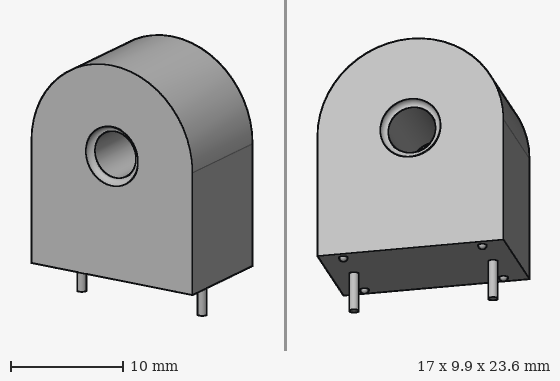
import cadquery as cq

total_height = 23.55
width = 17.02
depth = 9.9

pin_length = 3.55
pin_diameter = 0.85
pin_spacing = 12.7

housing_height = total_height - pin_length
top_radius = width / 2
axis_height = housing_height - top_radius

bore_diameter = 4.33
bore_cove_radius = 0.6

foot_radius = 0.4
foot_height = 0.35
foot_spacing_y = 8.0


def make_foot():
    """Spherical cap that hangs below the housing floor at Z = 0."""
    sphere_radius = (foot_radius**2 + foot_height**2) / (2 * foot_height)
    return (
        cq.Workplane("XZ")
        .moveTo(0, 0)
        .lineTo(0, -foot_height)
        .radiusArc((foot_radius, 0), -sphere_radius)
        .close()
        .revolve(360, (0, 0), (0, 1))
    )


def make_bore_cove(side):
    """Cutter for the concave ring at one bore mouth; side is -1 at the -Y face, 1 at the +Y face."""
    bore_radius = bore_diameter / 2
    face_y = side * depth / 2
    ring_floor_y = face_y - side * bore_cove_radius
    return (
        cq.Workplane("XY")
        .moveTo(0, face_y)
        .lineTo(bore_radius + bore_cove_radius, face_y)
        .radiusArc((bore_radius, ring_floor_y), side * bore_cove_radius)
        .lineTo(0, ring_floor_y)
        .close()
        .revolve(360, (0, 0), (0, 1))
        .translate((0, 0, axis_height))
    )


def make_housing():
    """Arched block with a cove-mouthed bore along Y and four feet."""
    block = (
        cq.Workplane("XZ")
        .moveTo(-width / 2, 0)
        .lineTo(width / 2, 0)
        .lineTo(width / 2, axis_height)
        .threePointArc((0, housing_height), (-width / 2, axis_height))
        .close()
        .extrude(depth / 2, both=True)
    )
    bore = (
        cq.Workplane("XZ")
        .center(0, axis_height)
        .circle(bore_diameter / 2)
        .extrude(depth / 2, both=True)
    )
    housing = block.cut(bore)
    for side in (1, -1):
        housing = housing.cut(make_bore_cove(side))

    foot = make_foot()
    for x in (-pin_spacing / 2, pin_spacing / 2):
        for y in (-foot_spacing_y / 2, foot_spacing_y / 2):
            housing = housing.union(foot.translate((x, y, 0)))
    return housing


def make_pin(x):
    """Round pin that butts against the housing floor."""
    return cq.Workplane("XY").center(x, 0).circle(pin_diameter / 2).extrude(-pin_length)


housing = make_housing()
pins = [make_pin(x) for x in (-pin_spacing / 2, pin_spacing / 2)]

result = cq.Compound.makeCompound([*housing.solids().vals(), *[pin.val() for pin in pins]])